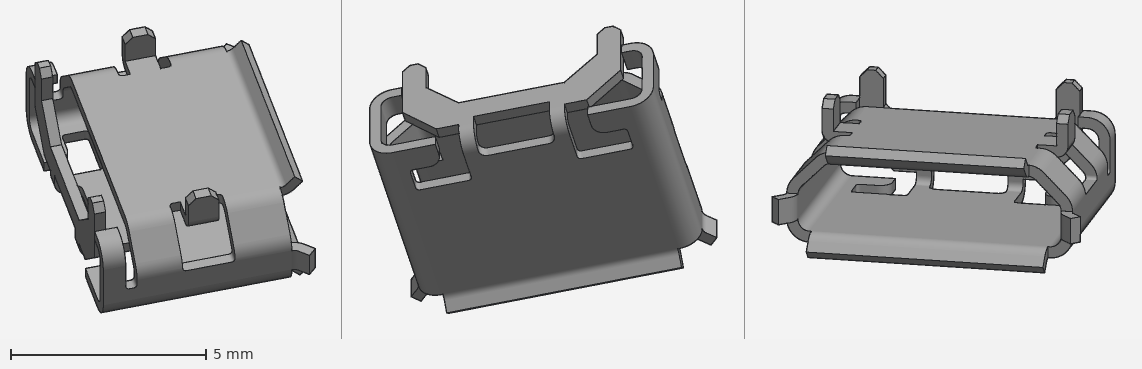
import cadquery as cq
import math


overall_width = 8.08
sheet = 0.3
body_width = 7.5
body_height = 2.45
body_depth = 5.0
half_width = body_width / 2
bend_radius = 2 * sheet
shoulder = 0.94
relief_radius = 0.1
tip_height = 3.25

slot_front = 0.6
slot_back = slot_front + sheet
slot_bottom = 1.02

flare_reach = 0.6
flare_rise = (overall_width - body_width) / 2
top_flare_width = 5.2
bottom_flare_width = 6.205
side_flare_bottom = bend_radius
side_flare_top = 1.28

window_front = 2.11
window_length = 1.39
window_bottom = side_flare_top
window_inner_x = 2.43
window_middle_y = window_front + window_length / 2
tab_width = 0.81
tab_outer_x = 3.22
tip_chamfer = 0.2

frame_gap_half = 2.91
flange_end_x = 2.01
flange_depth = 0.7
flange_corner_radius = 0.32
slit_outer_x = 2.87
slit_length = 0.7
slit_back = flange_depth + slit_length

plate_half = 2.885
arm_width = 0.62
arm_inner_bottom = 2.28
arm_outer_bottom = 1.49
crossbar_top = 1.44
crossbar_bottom = 0.59
leg_outer_x = 1.4
leg_inner_x = 1.0
notch_top = 0.79
notch_radius = 0.2
leg_bend_radius = 0.2


def box(x0, x1, y0, y1, z0, z1):
    return cq.Workplane("XY").box(x1 - x0, y1 - y0, z1 - z0, centered=False).translate((x0, y0, z0))


def both_sides(right_part):
    return right_part.union(right_part.mirror("YZ"))


def tube(outline, y_start, y_end):
    """Sheet tube along Y with rounded corners, open at both ends."""
    blank = cq.Workplane("XZ", origin=(0, y_start, 0)).polyline(outline).close().extrude(y_start - y_end)
    return blank.edges("|Y").fillet(bend_radius).faces("|Y").shell(-sheet)


def make_shell():
    seam = (slot_front + slot_back) / 2
    shoulder_z = body_height - shoulder
    shoulder_x = half_width - shoulder
    main_outline = [
        (-half_width, 0),
        (half_width, 0),
        (half_width, shoulder_z),
        (shoulder_x, body_height),
        (-shoulder_x, body_height),
        (-half_width, shoulder_z),
    ]
    frame_outline = [
        (-half_width, 0),
        (half_width, 0),
        (half_width, body_height),
        (-half_width, body_height),
    ]
    shell = tube(main_outline, seam, body_depth).union(tube(frame_outline, 0, seam))
    slot = box(-half_width, half_width, slot_front, slot_back, slot_bottom, body_height)
    frame_gap = box(-frame_gap_half, frame_gap_half, 0, slot_front, sheet, body_height)
    return shell.cut(slot.edges("|X and <Z").fillet(relief_radius)).cut(frame_gap)


def floor_opening():
    """Front opening of the right half of the floor: it leaves a flange with a slit behind it."""
    opening = (
        cq.Workplane("XY")
        .polyline([
            (0, 0),
            (flange_end_x, 0),
            (flange_end_x, flange_depth),
            (slit_outer_x, flange_depth),
            (slit_outer_x, slit_back),
            (leg_outer_x, slit_back),
            (leg_outer_x, flange_depth),
            (0, flange_depth),
        ])
        .close()
        .extrude(sheet)
    )
    opening = opening.edges("|Z and >Y").fillet(relief_radius)
    opening = opening.edges("|Z and >X").fillet(relief_radius)
    flange_corner = cq.NearestToPointSelector((flange_end_x, flange_depth, sheet / 2))
    return opening.edges(flange_corner).fillet(flange_corner_radius)


def side_window():
    window = box(
        window_inner_x, half_width,
        window_front, window_front + window_length,
        window_bottom, body_height,
    )
    return window.edges("|Z and <X").fillet(relief_radius).edges("|X and <Z").fillet(relief_radius)


def solder_tab():
    """Tab running out of the cover and bent upright."""
    inner_x = tab_outer_x - sheet
    under_cover = body_height - sheet
    bend_middle = sheet * math.sin(math.radians(45))
    tab = (
        cq.Workplane("XZ", origin=(0, window_middle_y, 0))
        .moveTo(window_inner_x, under_cover)
        .lineTo(inner_x, under_cover)
        .threePointArc((inner_x + bend_middle, body_height - bend_middle), (tab_outer_x, body_height))
        .lineTo(tab_outer_x, tip_height)
        .lineTo(inner_x, tip_height)
        .lineTo(inner_x, body_height)
        .lineTo(window_inner_x, body_height)
        .close()
        .extrude(tab_width / 2, both=True)
    )
    return tab.faces(">Z").edges("|X").chamfer(tip_chamfer)


def flare(width):
    """Lip bent 45 degrees outward (+Z), its outer root edge on the X axis."""
    bend = math.radians(45)
    half_bend = bend / 2
    inner = (flare_reach - flare_rise - sheet * math.sin(bend)) / (2 * math.sin(bend) - 1)
    outer = inner + sheet

    def on_bend(radius, angle):
        return (radius * math.sin(angle), inner - radius * math.cos(angle))

    far_corner = (flare_reach, flare_rise - sheet * math.cos(bend))
    top_corner = (flare_reach - sheet * math.sin(bend), flare_rise)
    return (
        cq.Workplane("YZ")
        .moveTo(0, -sheet)
        .threePointArc(on_bend(outer, half_bend), on_bend(outer, bend))
        .lineTo(*far_corner)
        .lineTo(*top_corner)
        .lineTo(*on_bend(inner, bend))
        .threePointArc(on_bend(inner, half_bend), (0, 0))
        .close()
        .extrude(width / 2, both=True)
    )


def make_flares():
    def turned(lip, angle):
        return lip.rotate((0, 0, 0), (0, 1, 0), angle)

    side_width = side_flare_top - side_flare_bottom
    side_middle = (side_flare_top + side_flare_bottom) / 2
    top = flare(top_flare_width).translate((0, body_depth, body_height))
    bottom = turned(flare(bottom_flare_width), 180).translate((0, body_depth, 0))
    right = turned(flare(side_width), 90).translate((half_width, body_depth, side_middle))
    return [top, bottom, right, right.mirror("YZ")]


def front_plate():
    """Upright U-shaped plate with two pointed arms."""
    arm_inner_x = plate_half - arm_width
    foot_x = plate_half - (arm_outer_bottom - crossbar_bottom)
    right_half = (
        cq.Workplane("XZ")
        .polyline([
            (0, crossbar_bottom),
            (foot_x, crossbar_bottom),
            (plate_half, arm_outer_bottom),
            (plate_half, tip_height),
            (arm_inner_x, tip_height),
            (arm_inner_x, arm_inner_bottom),
            (leg_outer_x, crossbar_top),
            (0, crossbar_top),
        ])
        .close()
        .extrude(-sheet)
    )
    return both_sides(right_half.faces(">Z").edges("|Y").chamfer(tip_chamfer))


def leg_strap():
    """Strip bent from the floor up into the plate."""
    return (
        cq.Workplane("YZ")
        .moveTo(slit_back, 0)
        .lineTo(0, 0)
        .lineTo(0, crossbar_bottom)
        .lineTo(sheet, crossbar_bottom)
        .lineTo(sheet, sheet)
        .lineTo(slit_back, sheet)
        .close()
        .extrude(leg_outer_x, both=True)
        .edges(cq.NearestToPointSelector((0, 0, 0)))
        .fillet(leg_bend_radius + sheet)
        .edges(cq.NearestToPointSelector((0, sheet, sheet)))
        .fillet(leg_bend_radius)
    )


def leg_notch():
    """Opening that splits the strip into two legs."""
    notch = box(-leg_inner_x, leg_inner_x, 0, flange_depth, 0, notch_top)
    return notch.edges("|Z and >Y").fillet(notch_radius)


result = make_shell().cut(both_sides(floor_opening())).cut(both_sides(side_window()))
result = result.union(both_sides(solder_tab()))
for lip in make_flares():
    result = result.union(lip)
result = result.union(front_plate().union(leg_strap()).cut(leg_notch()))